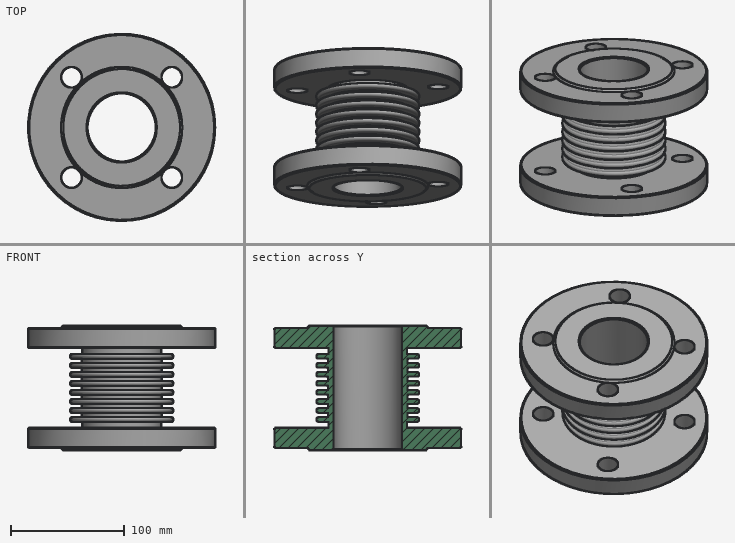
import cadquery as cq

total_length = 110.0
bore_diameter = 60.0
bore_chamfer = 1.0
collar_diameter = 70.0

flange_diameter = 165.0
flange_thickness = 18.0
flange_chamfer = 1.0
bolt_circle_diameter = 125.0
bolt_hole_diameter = 18.0
bolt_count = 4
first_bolt_angle = 45.0

face_height = 2.0
face_base_diameter = bolt_circle_diameter - bolt_hole_diameter
face_top_diameter = face_base_diameter - 2 * face_height

bellows_length = 60.2
valley_diameter = 70.69
ring_diameter = 91.0
ring_thickness = 4.5
ring_count = 8
ring_pitch = (bellows_length - ring_thickness) / (ring_count - 1)

ring_overlap = 1.0


def make_flange():
    """Lower flange: sealing face on z = 0, disc above it, with the bolt holes."""
    face = (
        cq.Workplane("XY")
        .circle(face_top_diameter / 2)
        .workplane(offset=face_height)
        .circle(face_base_diameter / 2)
        .loft(combine=True, ruled=True)
    )
    disc = (
        cq.Workplane("XY", origin=(0, 0, face_height))
        .circle(flange_diameter / 2)
        .extrude(flange_thickness)
        .edges()
        .chamfer(flange_chamfer)
    )
    bolt_holes = (
        cq.Workplane("XY")
        .polarArray(bolt_circle_diameter / 2, first_bolt_angle, 360, bolt_count)
        .circle(bolt_hole_diameter / 2)
        .extrude(face_height + flange_thickness)
    )
    return disc.union(face).cut(bolt_holes)


def make_ring(center_z):
    """One bellows ring: flat sides and a fully rounded rim."""
    half_thickness = ring_thickness / 2
    inner_radius = valley_diameter / 2 - ring_overlap
    tip_radius = ring_diameter / 2
    round_start = tip_radius - half_thickness
    return (
        cq.Workplane("XZ")
        .moveTo(inner_radius, center_z - half_thickness)
        .lineTo(round_start, center_z - half_thickness)
        .threePointArc((tip_radius, center_z), (round_start, center_z + half_thickness))
        .lineTo(inner_radius, center_z + half_thickness)
        .close()
        .revolve(360, (0, 0, 0), (0, 1, 0))
    )


def make_bellows():
    """Valley cylinder spanning the first to the last ring, with all rings."""
    bottom_z = (total_length - bellows_length) / 2
    bellows = (
        cq.Workplane("XY", origin=(0, 0, bottom_z + ring_thickness / 2))
        .circle(valley_diameter / 2)
        .extrude(bellows_length - ring_thickness)
    )
    for index in range(ring_count):
        center_z = bottom_z + ring_thickness / 2 + index * ring_pitch
        bellows = bellows.union(make_ring(center_z))
    return bellows


def make_pipe():
    """Solid core whose exposed ends form the collars next to the flanges."""
    return (
        cq.Workplane("XY", origin=(0, 0, face_height))
        .circle(collar_diameter / 2)
        .extrude(total_length - 2 * face_height)
    )


def cut_bore(body):
    """Through bore with a chamfer at both mouths."""
    bore_radius = bore_diameter / 2
    mouth_radius = bore_radius + bore_chamfer
    bore = (
        cq.Workplane("XZ")
        .moveTo(0, 0)
        .lineTo(mouth_radius, 0)
        .lineTo(bore_radius, bore_chamfer)
        .lineTo(bore_radius, total_length - bore_chamfer)
        .lineTo(mouth_radius, total_length)
        .lineTo(0, total_length)
        .close()
        .revolve(360, (0, 0, 0), (0, 1, 0))
    )
    return body.cut(bore)


lower_flange = make_flange()
mid_plane_point = (0, 0, total_length / 2)
upper_flange = lower_flange.mirror("XY", mid_plane_point)
body = make_pipe().union(make_bellows()).union(lower_flange).union(upper_flange)
result = cut_bore(body)